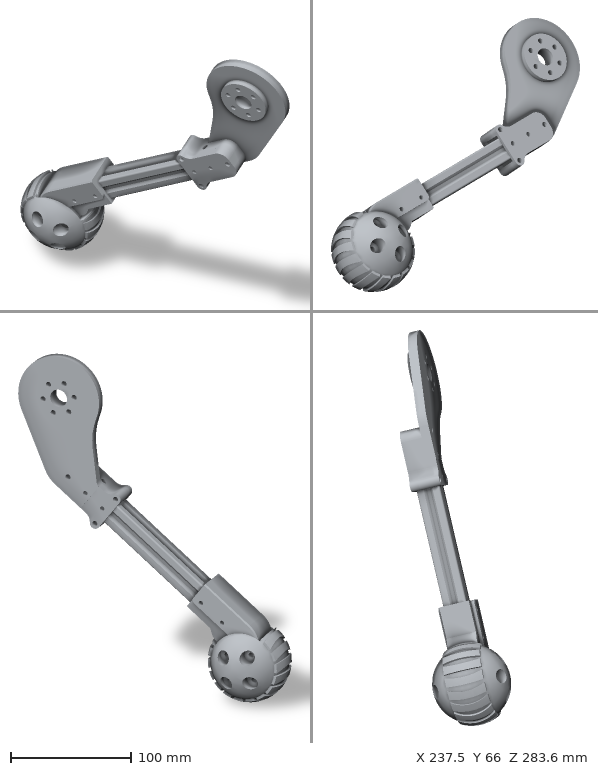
import cadquery as cq
import math

LEG_TILT = 38.0

SAME_POINT = 0.003

TUBE_SIZE = 19.8
TUBE_START = 31.2
TUBE_END = 198.5
TUBE_CORNER_RADIUS = 1.5
TUBE_AXIS_Z = 16.5
GROOVE_MOUTH_HALF = 3.7
GROOVE_FLOOR_HALF = 1.5
GROOVE_DEPTH = GROOVE_MOUTH_HALF - GROOVE_FLOOR_HALF

BOLT_DIA = 4.5
TUBE_SCREW_DIA = 4.0
SIDE_SCREW_DIA = 5.0
COUNTERBORE_DIA = 12.0
HUB_BORE_DIA = 15.0

CAP_RADIUS = 33.0
CAP_FLOOR_Y = 16.2
COUNTERBORE_FLOOR_Y = 19.8
CAP_BOLT_CIRCLE_RADIUS = 15.3
CAP_BOLT_COUNT = 4
CORE_RADIUS = 27.0
TIRE_RADIUS = 35.0
TIRE_START_ANGLE = 85.0
TIRE_END_ANGLE = 353.0
TREAD_COUNT = 18
TREAD_PHASE = 13.6
TREAD_WIDTH = 2.8
TREAD_LEAD_BOW = 3.7
TREAD_TRAIL_BOW = 0.9

FORK_WALL = 2.8
FORK_HALF_WIDTH = TUBE_SIZE / 2 + FORK_WALL
FORK_END_X = 68.0
FORK_TOP_Z = TUBE_AXIS_Z + FORK_HALF_WIDTH
FORK_BOTTOM_Z = TUBE_AXIS_Z - FORK_HALF_WIDTH
NECK_X = 41.5
NECK_TIP = (30.5, -1.5)
NECK_BEND = (35.2, -0.5)
NECK_BEND_RADIUS = 8.5
COVER_WALL = 2.8
COVER_HALF_WIDTH = FORK_HALF_WIDTH + COVER_WALL
COVER_TOP_Z = FORK_TOP_Z + COVER_WALL
COVER_BOTTOM_Z = 12.0
COVER_CORNER_RADIUS = 4.0
COVER_EDGE_CHAMFER = 1.0
COVER_NOSE_X = 17.5
COVER_NOSE_RADIUS = 21.8
NOSE_TURN = 60.0
FOOT_SCREW_X = (36.3, 60.5)

CLAMP_HALF_WIDTH = 12.8
CLAMP_SPLIT_Y = -5.0
CLAMP_START_X = 166.5
CLAMP_END_X = 217.7
CLAMP_SIDE = 13.3
CLAMP_TOP_Z = TUBE_AXIS_Z + CLAMP_SIDE
CLAMP_BOTTOM_Z = TUBE_AXIS_Z - CLAMP_SIDE
CLAMP_CORNER_RADIUS = 9.2
LUG_RADIUS = 4.5
LUG_OFFSET = 15.0
LUG_ROOT_RADIUS = 10.2
RELIEF_HEIGHT = 2.5
RELIEF_DEPTH = 3.7
CLAMP_SCREW_X = (174.4, 193.3)
CLAMP_BOLT_X = 213.2
SIDE_SCREW_X = 189.5

PLATE_THICKNESS = 8.0
PLATE_BACK_Y = 13.0
PLATE_FRONT_Y = PLATE_BACK_Y - PLATE_THICKNESS
PLATE_RADIUS = 36.3
HUB = (261.7, 65.0)
WAIST_RADIUS = 58.0
WAIST_CONTACT_ANGLE = 162.7
WAIST_SLOPE = 45.0
WAIST_FOOT_RADIUS = 5.0
FRONT_EDGE_SLOPE = 29.0
FRONT_EDGE_RADIUS = 27.2
DISC_DIA = 41.0
DISC_THICKNESS = 5.0
HUB_BOLT_CIRCLE_RADIUS = 14.2
HUB_BOLT_COUNT = 6
HUB_BOLT_ANGLE = 12.0


def polar(center, radius, angle):
    """The point at a distance and an angle in degrees from a centre."""
    turn = math.radians(angle)
    return (center[0] + radius * math.cos(turn), center[1] + radius * math.sin(turn))


def corner_arc(before, corner, after, radius):
    """Start, middle and end of the arc that rounds a corner between two neighbours."""
    to_before = math.atan2(before[1] - corner[1], before[0] - corner[0])
    to_after = math.atan2(after[1] - corner[1], after[0] - corner[0])
    half = math.acos(math.cos(to_before - to_after)) / 2
    tangent = radius / math.tan(half)
    start = polar(corner, tangent, math.degrees(to_before))
    end = polar(corner, tangent, math.degrees(to_after))
    bisector = math.atan2(start[1] + end[1] - 2 * corner[1], start[0] + end[0] - 2 * corner[0])
    middle = polar(corner, radius / math.sin(half) - radius, math.degrees(bisector))
    return start, middle, end


def side_plane(y_back):
    """A plane facing -Y at y_back: its axes are X and Z, and extrusions go toward -Y."""
    return cq.Workplane("XZ", origin=(0, y_back, 0))


def rounded_slab(corners, y_front, y_back):
    """A slab whose outline has corners (x, z, radius); radius 0 leaves a corner sharp."""
    outline = side_plane(y_back)
    here = None
    for i, (x, z, radius) in enumerate(corners):
        arc = [(x, z)]
        if radius:
            arc = corner_arc(corners[i - 1], (x, z), corners[(i + 1) % len(corners)], radius)
        if here is None:
            outline = outline.moveTo(*arc[0])
        elif math.dist(here, arc[0]) > SAME_POINT:
            outline = outline.lineTo(*arc[0])
        if radius:
            outline = outline.threePointArc(arc[1], arc[2])
        here = arc[-1]
    return outline.close().extrude(y_back - y_front)


def disc(center, radius, y_front, y_back):
    """A round disc or pin along Y."""
    return side_plane(y_back).center(*center).circle(radius).extrude(y_back - y_front)


def pins(points, diameter, half_length):
    """Round cutters along Y, centred on Y = 0."""
    return side_plane(half_length).pushPoints(points).circle(diameter / 2).extrude(2 * half_length)


def tube_space():
    """The square, round-cornered room that the tube fills."""
    return (
        cq.Workplane("YZ", origin=(TUBE_START, 0, TUBE_AXIS_Z))
        .rect(TUBE_SIZE, TUBE_SIZE)
        .extrude(TUBE_END - TUBE_START)
        .edges("|X")
        .fillet(TUBE_CORNER_RADIUS)
    )


def make_tube():
    """The profile tube with a flared groove along each side."""
    tube = tube_space()
    face = TUBE_SIZE / 2
    groove = (
        cq.Workplane("YZ", origin=(TUBE_START, 0, TUBE_AXIS_Z))
        .moveTo(-GROOVE_MOUTH_HALF, face)
        .lineTo(-GROOVE_FLOOR_HALF, face - GROOVE_DEPTH)
        .lineTo(GROOVE_FLOOR_HALF, face - GROOVE_DEPTH)
        .lineTo(GROOVE_MOUTH_HALF, face)
        .close()
        .extrude(TUBE_END - TUBE_START)
    )
    axis_start = (0, 0, TUBE_AXIS_Z)
    axis_end = (1, 0, TUBE_AXIS_Z)
    for side in range(4):
        tube = tube.cut(groove.rotate(axis_start, axis_end, 90 * side))
    return tube


def cap_bolt_points():
    return [
        polar((0, 0), CAP_BOLT_CIRCLE_RADIUS, 360 / CAP_BOLT_COUNT * i)
        for i in range(CAP_BOLT_COUNT)
    ]


def make_cap(side):
    """A ball cap on the -Y (side = -1) or +Y (side = 1) face of the foot, with sunk bolt holes."""
    keep = disc((0, 0), CAP_RADIUS, CAP_FLOOR_Y, CAP_RADIUS)
    sinks = (
        side_plane(CAP_RADIUS)
        .pushPoints(cap_bolt_points())
        .circle(COUNTERBORE_DIA / 2)
        .extrude(CAP_RADIUS - COUNTERBORE_FLOOR_Y)
    )
    cap = cq.Workplane("XY").sphere(CAP_RADIUS).intersect(keep)
    cap = cap.cut(sinks).cut(pins(cap_bolt_points(), BOLT_DIA, CAP_RADIUS))
    return cap if side > 0 else cap.mirror("XZ")


def tire_sector():
    """The room of the tire around the core, open where the fork enters."""
    reach = 2 * TIRE_RADIUS
    middle_angle = (TIRE_START_ANGLE + TIRE_END_ANGLE) / 2
    return (
        side_plane(CAP_FLOOR_Y)
        .lineTo(*polar((0, 0), reach, TIRE_START_ANGLE))
        .threePointArc(
            polar((0, 0), reach, middle_angle), polar((0, 0), reach, TIRE_END_ANGLE)
        )
        .close()
        .extrude(2 * CAP_FLOOR_Y)
        .cut(disc((0, 0), CORE_RADIUS, -CAP_FLOOR_Y, CAP_FLOOR_Y))
    )


def make_tire():
    """A slice of a ball with bowed tread grooves, cut down to the ball of the caps."""
    tire = cq.Workplane("XY").sphere(TIRE_RADIUS).intersect(tire_sector())
    tread = (
        cq.Workplane("YZ", origin=(CORE_RADIUS, 0, 0))
        .moveTo(-CAP_FLOOR_Y, 0)
        .threePointArc((0, -TREAD_LEAD_BOW), (CAP_FLOOR_Y, 0))
        .lineTo(CAP_FLOOR_Y, TREAD_WIDTH)
        .threePointArc((0, TREAD_WIDTH - TREAD_TRAIL_BOW), (-CAP_FLOOR_Y, TREAD_WIDTH))
        .close()
        .extrude(TIRE_RADIUS)
        .cut(cq.Workplane("XY").sphere(CAP_RADIUS))
    )
    for i in range(TREAD_COUNT):
        angle = TREAD_PHASE + 360 / TREAD_COUNT * i
        tire = tire.cut(tread.rotate((0, 0, 0), (0, 1, 0), angle))
    return tire


def nose_slab(end_x, bottom_z, top_z, nose_radius, half_width):
    """A slab with a level top that drops in an arc toward the foot."""
    nose_center = (COVER_NOSE_X, top_z - nose_radius)
    nose_middle = polar(nose_center, nose_radius, 90 + NOSE_TURN / 2)
    nose_end = polar(nose_center, nose_radius, 90 + NOSE_TURN)
    return (
        side_plane(half_width)
        .moveTo(end_x, bottom_z)
        .lineTo(end_x, top_z)
        .lineTo(COVER_NOSE_X, top_z)
        .threePointArc(nose_middle, nose_end)
        .lineTo(nose_end[0], bottom_z)
        .close()
        .extrude(2 * half_width)
    )


def foot_screws():
    points = [(x, TUBE_AXIS_Z) for x in FOOT_SCREW_X]
    return pins(points, TUBE_SCREW_DIA, COVER_HALF_WIDTH)


def fork_sleeve():
    return nose_slab(
        FORK_END_X, FORK_BOTTOM_Z, FORK_TOP_Z, COVER_NOSE_RADIUS - COVER_WALL, FORK_HALF_WIDTH
    )


def make_fork():
    """The sleeve around the tube, its neck and the round core inside the tire."""
    neck = rounded_slab(
        [
            (0, 0, 0),
            (*NECK_TIP, 0),
            (*NECK_BEND, NECK_BEND_RADIUS),
            (NECK_X, FORK_BOTTOM_Z, 0),
            (NECK_X, FORK_TOP_Z - FORK_WALL, 0),
            (0, TUBE_AXIS_Z, 0),
        ],
        -FORK_HALF_WIDTH,
        FORK_HALF_WIDTH,
    )
    core = disc((0, 0), CORE_RADIUS, -CAP_FLOOR_Y, CAP_FLOOR_Y)
    fork = fork_sleeve().union(neck).cut(tire_sector()).union(core)
    return fork.cut(tube_space()).cut(foot_screws()).cut(
        pins(cap_bolt_points(), BOLT_DIA, CAP_FLOOR_Y)
    )


def make_cover():
    """The hood over the fork sleeve, open below."""
    cover = nose_slab(
        FORK_END_X, COVER_BOTTOM_Z, COVER_TOP_Z, COVER_NOSE_RADIUS, COVER_HALF_WIDTH
    )
    end_corner = cq.selectors.NearestToPointSelector((FORK_END_X, 0, COVER_BOTTOM_Z))
    cover = cover.edges("|Y").edges(end_corner).fillet(COVER_CORNER_RADIUS)
    long_edges = cq.selectors.BoxSelector(
        (COVER_NOSE_X, -2 * COVER_HALF_WIDTH, COVER_TOP_Z - 0.3),
        (FORK_END_X - 0.3, 2 * COVER_HALF_WIDTH, COVER_TOP_Z + 0.3),
    )
    cover = cover.edges(long_edges).edges("|X").chamfer(COVER_EDGE_CHAMFER)
    core = disc((0, 0), CORE_RADIUS, -CAP_FLOOR_Y, CAP_FLOOR_Y)
    return cover.cut(fork_sleeve()).cut(core).cut(tire_sector()).cut(foot_screws())


def clamp_slab(y_front, y_back):
    """The clamp outline: a round-ended block with a bolt lug at each side of its mouth.

    The slope of a lug makes its two arcs meet without a straight stretch between them.
    """
    lug_x = CLAMP_START_X + LUG_RADIUS
    lug_reach = LUG_OFFSET + LUG_RADIUS
    drop = lug_reach - CLAMP_SIDE
    slope = math.acos(1 - drop / (LUG_RADIUS + LUG_ROOT_RADIUS))
    shoulder_x = lug_x + LUG_RADIUS * math.tan(slope / 2)
    foot_x = shoulder_x + drop / math.tan(slope)
    upper = [
        (CLAMP_START_X, lug_reach, LUG_RADIUS),
        (shoulder_x, lug_reach, LUG_RADIUS),
        (foot_x, CLAMP_SIDE, LUG_ROOT_RADIUS),
        (CLAMP_END_X, CLAMP_SIDE, CLAMP_CORNER_RADIUS),
    ]
    lower = [(x, -offset, radius) for x, offset, radius in reversed(upper)]
    corners = [(x, TUBE_AXIS_Z + offset, radius) for x, offset, radius in upper + lower]
    return rounded_slab(corners, y_front, y_back)


def clamp_holes():
    """Bolt holes through the clamp and screw holes that reach the tube."""
    lug_x = CLAMP_START_X + LUG_RADIUS
    bolts = [
        (lug_x, TUBE_AXIS_Z + LUG_OFFSET),
        (lug_x, TUBE_AXIS_Z - LUG_OFFSET),
        (CLAMP_BOLT_X, TUBE_AXIS_Z),
    ]
    screws = [(x, TUBE_AXIS_Z) for x in CLAMP_SCREW_X]
    side_screw = (
        cq.Workplane("XY", origin=(SIDE_SCREW_X, 0, TUBE_AXIS_Z))
        .circle(SIDE_SCREW_DIA / 2)
        .extrude(2 * LUG_OFFSET)
    )
    return (
        pins(bolts, BOLT_DIA, PLATE_BACK_Y)
        .union(pins(screws, TUBE_SCREW_DIA, PLATE_BACK_Y))
        .union(side_screw)
    )


def clamp_room():
    """The room of the tube in the clamp, with a relief above and below it at the mouth."""
    relief = (
        cq.Workplane("YZ", origin=(CLAMP_START_X, 0, TUBE_AXIS_Z))
        .rect(TUBE_SIZE, TUBE_SIZE + 2 * RELIEF_HEIGHT)
        .extrude(RELIEF_DEPTH)
    )
    return tube_space().union(relief)


def hub_holes():
    """The centre bore and the ring of bolt holes of the motor hub."""
    ring = [
        polar(HUB, HUB_BOLT_CIRCLE_RADIUS, HUB_BOLT_ANGLE + 360 / HUB_BOLT_COUNT * i)
        for i in range(HUB_BOLT_COUNT)
    ]
    return pins([HUB], HUB_BORE_DIA, PLATE_BACK_Y).union(
        pins(ring, BOLT_DIA, PLATE_BACK_Y)
    )


def plate_slab():
    """The thigh plate: a round head that tapers down to the clamp."""
    waist_start = polar(HUB, PLATE_RADIUS, WAIST_CONTACT_ANGLE)
    waist_center = polar(HUB, PLATE_RADIUS + WAIST_RADIUS, WAIST_CONTACT_ANGLE)
    waist_end_angle = WAIST_SLOPE - 90
    waist_mid_angle = (WAIST_CONTACT_ANGLE - 180 + waist_end_angle) / 2
    waist_middle = polar(waist_center, WAIST_RADIUS, waist_mid_angle)
    waist_end = polar(waist_center, WAIST_RADIUS, waist_end_angle)
    waist_run = (waist_end[1] - CLAMP_TOP_Z) / math.tan(math.radians(WAIST_SLOPE))
    waist_foot = (waist_end[0] - waist_run, CLAMP_TOP_Z)
    foot_arc = corner_arc(waist_end, waist_foot, (CLAMP_START_X, CLAMP_TOP_Z), WAIST_FOOT_RADIUS)

    front_start = polar(HUB, PLATE_RADIUS, FRONT_EDGE_SLOPE - 90)
    front_run = (front_start[1] - CLAMP_BOTTOM_Z) / math.tan(math.radians(FRONT_EDGE_SLOPE))
    front_foot = (front_start[0] - front_run, CLAMP_BOTTOM_Z)
    front_arc = corner_arc(
        (CLAMP_START_X, CLAMP_BOTTOM_Z), front_foot, front_start, FRONT_EDGE_RADIUS
    )
    head_top = polar(HUB, PLATE_RADIUS, 60)

    return (
        side_plane(PLATE_BACK_Y)
        .moveTo(*waist_start)
        .threePointArc(waist_middle, waist_end)
        .lineTo(*foot_arc[0])
        .threePointArc(foot_arc[1], foot_arc[2])
        .lineTo(foot_arc[2][0], CLAMP_BOTTOM_Z)
        .lineTo(*front_arc[0])
        .threePointArc(front_arc[1], front_arc[2])
        .lineTo(*front_start)
        .threePointArc(head_top, waist_start)
        .close()
        .extrude(PLATE_THICKNESS)
    )


def make_thigh():
    """The thigh plate in one piece with the rear half of the clamp."""
    thigh = clamp_slab(CLAMP_SPLIT_Y, CLAMP_HALF_WIDTH).union(plate_slab())
    return thigh.cut(clamp_room()).cut(clamp_holes()).cut(hub_holes())


def make_clamp_front():
    """The front half of the clamp."""
    return clamp_slab(-CLAMP_HALF_WIDTH, CLAMP_SPLIT_Y).cut(clamp_room()).cut(clamp_holes())


def make_motor_disc():
    """The round disc on the front of the thigh plate."""
    plain = disc(HUB, DISC_DIA / 2, PLATE_FRONT_Y - DISC_THICKNESS, PLATE_FRONT_Y)
    return plain.cut(hub_holes())


def tilted(body):
    """The finished solid of a body, swung up to the slope of the leg."""
    return body.rotate((0, 0, 0), (0, 1, 0), -LEG_TILT).val()


tube = make_tube()
fork = make_fork()
cover = make_cover()
tire = make_tire()
caps = [make_cap(side) for side in (-1, 1)]
thigh = make_thigh()
clamp_front = make_clamp_front()
motor_disc = make_motor_disc()

bodies = [tube, fork, cover, tire, *caps, thigh, clamp_front, motor_disc]
result = cq.Compound.makeCompound([tilted(body) for body in bodies])